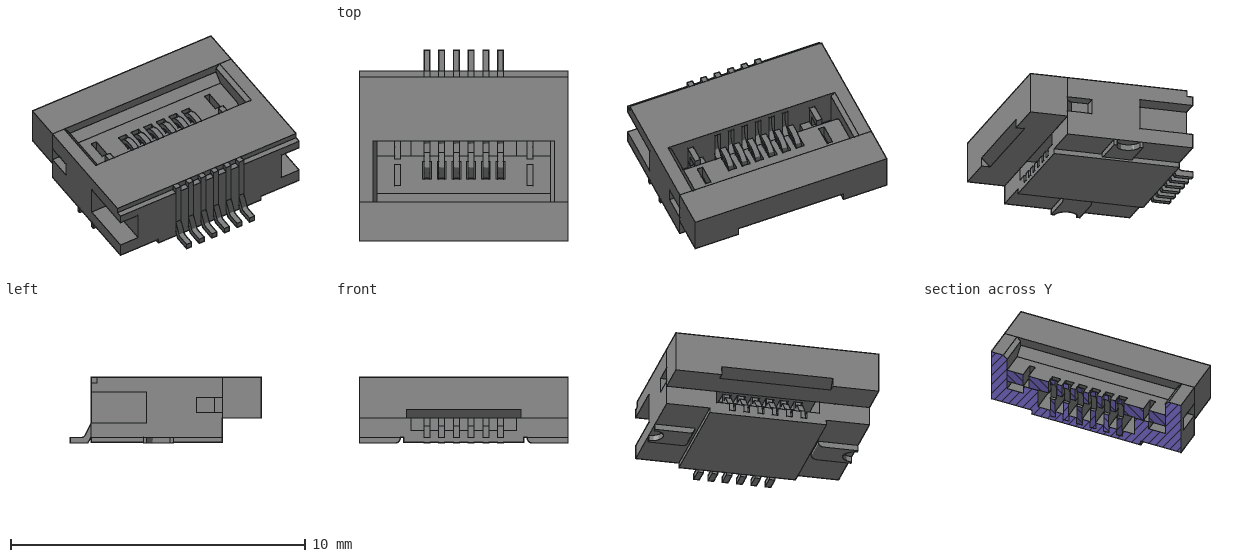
import cadquery as cq
import math


width = 7.1
height = 2.25
half_width = width / 2
diagonal = math.sqrt(0.5)
overall_depth = 6.5

housing_front = 1.325
housing_back = 5.79
housing_bottom = 0.03
side_step_bottom = 0.2
center_pad_width = 4.08
back_rebate = 0.2
slot_top = height - back_rebate

window_width = 5.9
window_back = 3.4
window_chamfer = 0.14
cavity_floor = 1.15
side_channel_floor = 0.85

cable_slot_width = 3.6
cable_slot_floor = 0.44

latch_pocket_back = 2.2
latch_pocket_bottom = 1.04
latch_pocket_top = 1.55
latch_pocket_depth = 0.45

side_notch_front = 3.9
side_notch_bottom = 0.69
side_notch_top = 1.74
side_notch_depth = 0.7

bar_bottom = side_channel_floor
lead_in_width = 3.88
lead_in_size = cavity_floor - bar_bottom
tongue_top = 1.65
tongue_back = 2.9
tongue_round = 0.3
root_chamfer = 0.29
latch_length = 0.275
latch_reach = 0.2
relief_width = 0.3
relief_front = 2.11
relief_back = 2.715
nail_relief_front = 1.89
nail_relief_back = tongue_back - tongue_round

contact_count = 6
contact_pitch = 0.5
contact_thickness = 0.2
contact_bottom = 0.2
nose_front = 1.5
nose_lean = 0.07
nose_height = 0.58
nose_ramp = 0.35
beam_top = 0.95
heel_radius = 0.5
heel_start = 3.13
arm_top = 1.85
arm_thickness = 0.17
arm_front = 2.15
arm_radius = 0.54
arm_back = 3.01
arm_tip_radius = 0.1
lead_thickness = 0.2
lead_bend_top = 6.03
lead_bend_bottom = 5.9
lead_bend_radius = 0.13
lead_root_top = 0.68

nail_spacing = 4.5
nail_thickness = 0.2
nail_arm_front = 2.79
nail_arm_thickness = 0.26
nail_post_front = 3.2
foot_front = 2.99
foot_back = 4.01
foot_thickness = side_step_bottom
foot_bend_radius = 0.19
foot_notch_radius = 0.4

contact_places = [(i - (contact_count - 1) / 2) * contact_pitch for i in range(contact_count)]
nail_outer_face = nail_spacing / 2 + nail_thickness / 2
nail_inner_face = nail_spacing / 2 - nail_thickness / 2


def block(x_range, y_range, z_range):
    """Box between the given low and high limits along each axis."""
    sizes = [high - low for low, high in (x_range, y_range, z_range)]
    corner = (x_range[0], y_range[0], z_range[0])
    return cq.Workplane("XY").box(*sizes, centered=False).translate(corner)


def centered_block(x_center, x_size, y_range, z_range):
    """Box centred on x_center along X."""
    return block((x_center - x_size / 2, x_center + x_size / 2), y_range, z_range)


def extrude_across(profile, x_center, x_size):
    """Extrude a closed (Y, Z) profile along X, centred on x_center."""
    return profile.extrude(x_size / 2, both=True).translate((x_center, 0, 0))


def mirror_to_right(shape):
    """Copy of a left-hand shape on the right-hand side."""
    return shape.mirror("YZ")


def make_nail():
    """Left hold-down: upright plate with an arm over the tongue and a solder foot bent outwards."""
    plate_profile = (
        cq.Workplane("YZ")
        .moveTo(foot_back, 0)
        .lineTo(foot_back, arm_top)
        .lineTo(nail_arm_front, arm_top)
        .lineTo(nail_arm_front, arm_top - nail_arm_thickness)
        .lineTo(nail_post_front, arm_top - nail_arm_thickness)
        .lineTo(nail_post_front, cavity_floor)
        .lineTo(window_back, cavity_floor)
        .lineTo(window_back, 0)
        .close()
    )
    plate = extrude_across(plate_profile, -nail_spacing / 2, nail_thickness)
    foot = block((-half_width, -nail_inner_face), (foot_front, foot_back), (0, foot_thickness))
    end_notch = (
        cq.Workplane("XY")
        .center(-half_width, (foot_front + foot_back) / 2)
        .circle(foot_notch_radius)
        .extrude(foot_thickness)
    )
    nail = plate.union(foot).cut(end_notch)
    middle_of_bend = (-nail_inner_face, (foot_front + foot_back) / 2, 0)
    bend_edge = cq.selectors.NearestToPointSelector(middle_of_bend)
    return nail.edges(bend_edge).fillet(foot_bend_radius)


def make_contact(x):
    """Contact: lower beam, hook rising through the tongue, rear post and gull-wing lead."""
    arm_center_y = arm_front + arm_radius
    arm_center_z = arm_top - arm_radius
    inner_radius = arm_radius - arm_thickness
    profile = (
        cq.Workplane("YZ")
        .moveTo(nose_front, contact_bottom)
        .lineTo(nose_front + nose_lean, nose_height)
        .lineTo(nose_front + nose_lean + nose_ramp, beam_top)
        .lineTo(arm_front, beam_top)
        .lineTo(arm_front, arm_center_z)
        .threePointArc(
            (arm_center_y - arm_radius * diagonal, arm_center_z + arm_radius * diagonal),
            (arm_center_y, arm_top),
        )
        .lineTo(arm_back - arm_tip_radius, arm_top)
        .threePointArc(
            (arm_back - arm_tip_radius * (1 - diagonal), arm_top - arm_tip_radius * (1 - diagonal)),
            (arm_back, arm_top - arm_tip_radius),
        )
        .lineTo(arm_back, arm_top - arm_thickness)
        .lineTo(arm_center_y, arm_top - arm_thickness)
        .threePointArc(
            (arm_center_y - inner_radius * diagonal, arm_center_z + inner_radius * diagonal),
            (arm_front + arm_thickness, arm_center_z),
        )
        .lineTo(arm_front + arm_thickness, beam_top)
        .lineTo(heel_start, beam_top)
        .threePointArc(
            (heel_start + heel_radius * diagonal, beam_top + heel_radius * (1 - diagonal)),
            (heel_start + heel_radius, beam_top + heel_radius),
        )
        .lineTo(heel_start + heel_radius, slot_top)
        .lineTo(housing_back - back_rebate, slot_top)
        .lineTo(housing_back - back_rebate, height)
        .lineTo(housing_back, height)
        .lineTo(housing_back, lead_root_top)
        .lineTo(lead_bend_top, lead_thickness)
        .lineTo(overall_depth, lead_thickness)
        .lineTo(overall_depth, 0)
        .lineTo(lead_bend_bottom, 0)
        .lineTo(housing_back, contact_bottom)
        .close()
    )
    contact = extrude_across(profile, x, contact_thickness)
    lead_bend = cq.selectors.NearestToPointSelector((x, lead_bend_top, lead_thickness))
    return contact.edges(lead_bend).fillet(lead_bend_radius)


def make_actuator():
    """Front bar with a cable lead-in, and a relieved tongue that fills the housing window."""
    bar = centered_block(0, width, (0, housing_front), (bar_bottom, height))

    lead_in = (
        cq.Workplane("YZ")
        .polyline([(0, bar_bottom), (lead_in_size, bar_bottom), (0, cavity_floor)])
        .close()
    )
    bar = bar.cut(extrude_across(lead_in, 0, lead_in_width))

    round_center_y = tongue_back - tongue_round
    round_center_z = tongue_top - tongue_round
    tongue_profile = (
        cq.Workplane("YZ")
        .moveTo(housing_front, cavity_floor)
        .lineTo(housing_front, tongue_top + root_chamfer)
        .lineTo(housing_front + root_chamfer, tongue_top)
        .lineTo(round_center_y, tongue_top)
        .threePointArc(
            (round_center_y + tongue_round * diagonal, round_center_z + tongue_round * diagonal),
            (tongue_back, round_center_z),
        )
        .lineTo(tongue_back, cavity_floor)
        .close()
    )
    tongue = extrude_across(tongue_profile, 0, window_width)
    tongue_depth = (cavity_floor, tongue_top)
    for x in contact_places:
        tongue = tongue.cut(centered_block(x, relief_width, (relief_front, relief_back), tongue_depth))
    for x in (-nail_spacing / 2, nail_spacing / 2):
        relief_range = (nail_relief_front, nail_relief_back)
        tongue = tongue.cut(centered_block(x, nail_thickness, relief_range, tongue_depth))

    latch_inner_face = latch_pocket_depth - half_width
    latch = (
        cq.Workplane("XY")
        .workplane(offset=latch_pocket_bottom)
        .polyline([
            (latch_inner_face, housing_front),
            (latch_inner_face, housing_front + latch_length),
            (latch_inner_face - latch_reach, housing_front),
        ])
        .close()
        .extrude(latch_pocket_top - latch_pocket_bottom)
    )
    return bar.union(tongue).union(latch).union(mirror_to_right(latch))


def make_housing():
    """Housing body with the window, cable slot, contact slots and side recesses."""
    body_depth = (housing_front, housing_back)
    housing = centered_block(0, width, body_depth, (side_step_bottom, height))
    housing = housing.union(
        centered_block(0, center_pad_width, body_depth, (housing_bottom, side_step_bottom)))

    rebate_range = (housing_back - back_rebate, housing_back)
    housing = housing.cut(centered_block(0, width, rebate_range, (slot_top, height)))

    window_range = (housing_front, window_back)
    housing = housing.cut(centered_block(0, window_width, window_range, (cavity_floor, height)))
    half_window = window_width / 2
    chamfer_wedge = (
        cq.Workplane("XZ", origin=(0, window_back, 0))
        .polyline([
            (-half_window, height - window_chamfer),
            (-half_window - window_chamfer, height),
            (half_window + window_chamfer, height),
            (half_window, height - window_chamfer),
        ])
        .close()
        .extrude(window_back - housing_front)
    )
    housing = housing.cut(chamfer_wedge)

    cable_height = (cable_slot_floor, cavity_floor)
    housing = housing.cut(centered_block(0, cable_slot_width, window_range, cable_height))

    for x in contact_places:
        slot_height = (contact_bottom, slot_top)
        housing = housing.cut(centered_block(x, contact_thickness, body_depth, slot_height))

    latch_pocket = block(
        (-half_width, latch_pocket_depth - half_width),
        (housing_front, latch_pocket_back),
        (latch_pocket_bottom, latch_pocket_top),
    )
    side_notch = block(
        (-half_width, side_notch_depth - half_width),
        (side_notch_front, housing_back),
        (side_notch_bottom, side_notch_top),
    )
    side_channel = block(
        (-half_window, -nail_outer_face),
        window_range,
        (side_channel_floor, cavity_floor),
    )
    nail_slot = block(
        (-nail_outer_face, -nail_inner_face),
        (window_back, foot_back),
        (side_step_bottom, arm_top),
    )
    for recess in (latch_pocket, side_notch, side_channel, nail_slot):
        housing = housing.cut(recess).cut(mirror_to_right(recess))
    return housing


housing = make_housing()
actuator = make_actuator()
contacts = [make_contact(x) for x in contact_places]
left_nail = make_nail()
nails = [left_nail, mirror_to_right(left_nail)]

result = cq.Compound.makeCompound(
    [housing.val(), actuator.val()]
    + [contact.val() for contact in contacts]
    + [nail.val() for nail in nails]
)